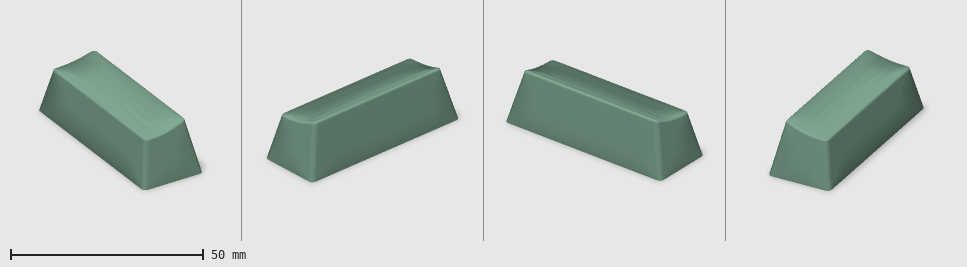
import cadquery as cq

base_length = 51.64
base_width = 18.3

end_lean = 0.248
back_lean = 0.204
front_lean = 0.195
blank_height = 17.0

back_y = 6.15
back_z = 15.41
front_y = -6.8
front_z = 12.92
end_sag = 0.85
middle_sag = 0.65
cutter_clearance = 3.0
cutter_top = blank_height + cutter_clearance

corner_radius = 1.25
rim_radius = 0.6


def tapered_block():
    """Four-sided block whose walls lean inward, with rounded corner edges."""
    top_length = base_length - 2 * end_lean * blank_height
    top_width = base_width - (back_lean + front_lean) * blank_height
    top_center_y = (front_lean - back_lean) * blank_height / 2
    block = (
        cq.Workplane("XY")
        .rect(base_length, base_width)
        .workplane(offset=blank_height)
        .center(0, top_center_y)
        .rect(top_length, top_width)
        .loft(ruled=True)
    )
    return block.edges("not(|X or |Y)").fillet(corner_radius)


def dish_section(x, sag):
    """Closed wire across the width at x: a sagging arc below, straight sides and top."""
    chord = cq.Vector(back_y - front_y, back_z - front_z)
    middle_y = (front_y + back_y) / 2 + sag * chord.y / chord.Length
    middle_z = (front_z + back_z) / 2 - sag * chord.x / chord.Length
    section = (
        cq.Workplane("YZ", origin=(x, 0, 0))
        .moveTo(front_y, front_z)
        .threePointArc((middle_y, middle_z), (back_y, back_z))
        .lineTo(back_y, cutter_top)
        .lineTo(front_y, cutter_top)
        .close()
    )
    return section.val()


def dish_cutter():
    """Solid that removes everything above the dished top."""
    half = base_length / 2
    sections = [dish_section(-half, end_sag), dish_section(0, middle_sag), dish_section(half, end_sag)]
    return cq.Workplane(cq.Solid.makeLoft(sections))


def keycap():
    """Tapered block with a dished top and a rounded rim."""
    body = tapered_block().cut(dish_cutter())
    return body.faces(">Z").edges().fillet(rim_radius)


result = keycap()